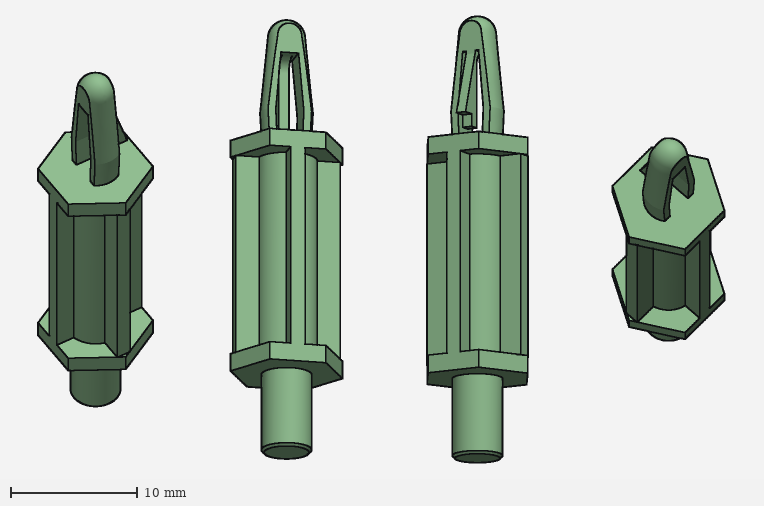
import cadquery as cq
import math

total_height = 35.7
pin_length = 6.43
lower_collar_top = 7.85
upper_collar_base = 24.1
upper_collar_top = 25.5

hex_across_flats = 7.9
hex_across_corners = hex_across_flats * 2 / math.sqrt(3)
core_diameter = 4.9
rib_width = 1.18
rib_span_x = 8.5
rib_span_y = hex_across_flats

pin_diameter = 4.0
pin_chamfer = 0.2

head_thickness = 2.3
head_base_radius = pin_diameter / 2
head_wide_radius = 2.1
head_wide_height = 28.02
dome_radius = 1.5
dome_base_height = total_height - dome_radius

slot_top = 32.75
slot_top_half_width = 0.7
slot_wide_half_width = 1.15
slot_base_half_width = 1.05

tongue_width = 0.82
tongue_front = 0.85
tongue_back = 1.68
tongue_base = 26.5
barb_base = 27.5
barb_reach = 2.7
barb_top = 32.5
tongue_root_radius = 1.07


def hex_collar(base, top):
    """Hexagonal plate with corners on the X axis."""
    return cq.Workplane("XY").workplane(offset=base).polygon(6, hex_across_corners).extrude(top - base)


def ribbed_body():
    """Round core with four ribs in a cross, between the collars."""
    height = upper_collar_base - lower_collar_top
    base = cq.Workplane("XY").workplane(offset=lower_collar_top)
    core = base.circle(core_diameter / 2).extrude(height)
    ribs_x = base.rect(rib_span_x, rib_width).extrude(height)
    ribs_y = base.rect(rib_width, rib_span_y).extrude(height)
    return core.union(ribs_x).union(ribs_y)


def lower_pin():
    pin = cq.Workplane("XY").circle(pin_diameter / 2).extrude(pin_length)
    return pin.faces("<Z").chamfer(pin_chamfer)


def snap_head():
    """Domed, tapered head with flat sides and a slot open at the collar."""
    dome_mid = dome_radius * math.sqrt(0.5)
    head = (
        cq.Workplane("XZ")
        .moveTo(0, upper_collar_top)
        .lineTo(head_base_radius, upper_collar_top)
        .lineTo(head_wide_radius, head_wide_height)
        .lineTo(dome_radius, dome_base_height)
        .threePointArc((dome_mid, dome_base_height + dome_mid), (0, total_height))
        .close()
        .revolve(360, (0, 0), (0, 1))
    )
    slab = cq.Workplane("XY").box(hex_across_corners, head_thickness, 2 * total_height)
    slot = (
        cq.Workplane("XZ")
        .moveTo(-slot_base_half_width, upper_collar_top)
        .lineTo(-slot_wide_half_width, head_wide_height)
        .lineTo(-slot_top_half_width, slot_top)
        .lineTo(slot_top_half_width, slot_top)
        .lineTo(slot_wide_half_width, head_wide_height)
        .lineTo(slot_base_half_width, upper_collar_top)
        .close()
        .extrude(head_thickness / 2, both=True)
    )
    return head.intersect(slab).cut(slot)


def locking_tongue():
    """Barbed tongue with a concave root blending into the slot roof."""
    root_start = slot_top - tongue_root_radius
    root_mid = tongue_root_radius * (1 - math.sqrt(0.5))
    return (
        cq.Workplane("YZ")
        .moveTo(tongue_front, tongue_base)
        .lineTo(tongue_back, tongue_base)
        .lineTo(tongue_back, barb_base)
        .lineTo(barb_reach, barb_base)
        .lineTo(head_thickness / 2, barb_top)
        .lineTo(head_thickness / 2, slot_top)
        .lineTo(tongue_front - tongue_root_radius, slot_top)
        .threePointArc((tongue_front - root_mid, slot_top - root_mid), (tongue_front, root_start))
        .close()
        .extrude(tongue_width / 2, both=True)
    )


result = (
    lower_pin()
    .union(hex_collar(pin_length, lower_collar_top))
    .union(ribbed_body())
    .union(hex_collar(upper_collar_base, upper_collar_top))
    .union(snap_head())
    .union(locking_tongue())
)